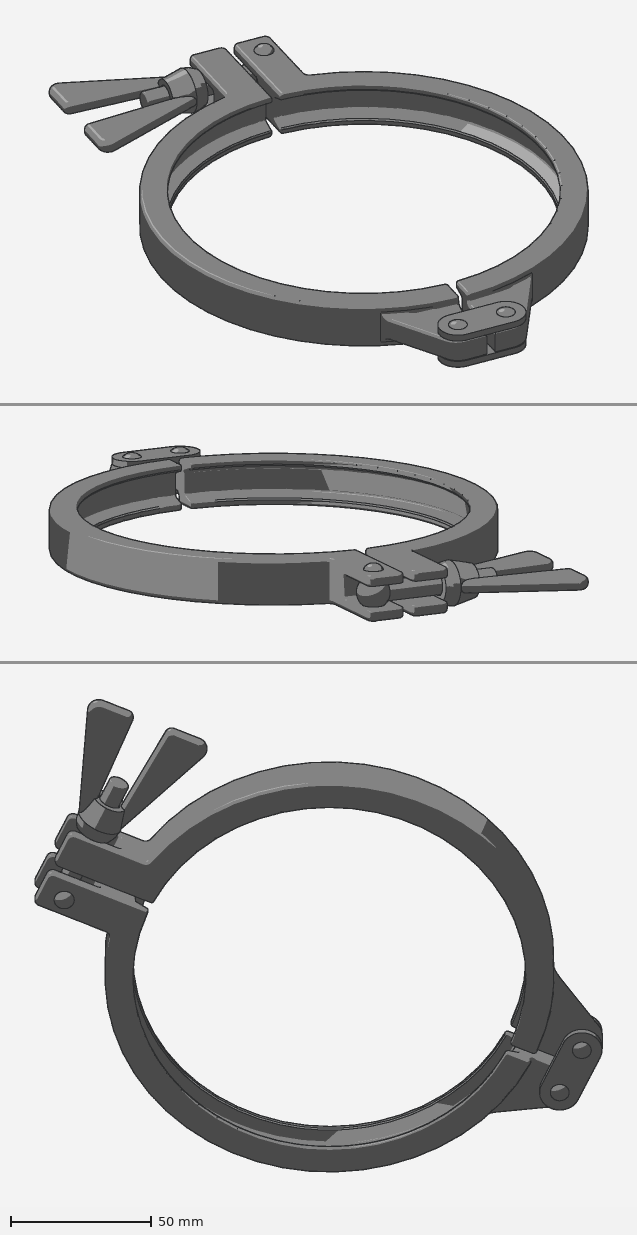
import cadquery as cq
import math

ring_outer_r = 80.04
ring_inner_r = 70.0
ring_half_height = 8.42
half_gap = 1.5
tolerance = 0.02
edge_round = 1.3
rim_round = 0.7

groove_r = 75.0
groove_tip_half = 6.0
groove_root_half = 4.3
groove_corner_round = 1.0

lug_end_x = -108.9
lug_side_y = 16.0
lug_corner_round = 2.2
lug_blend_r = 2.2
slot_end_x = -88.7
slot_half = 4.5
slot_corner_round = 1.3
slot_edge_round = 0.7

bolt_x = -99.5
pin_y = 9.7
bolt_r = 3.7
bolt_end_y = -38.2
bolt_end_round = 0.7
eye_r = 6.0
pin_r = 3.5
pin_half_length = 10.66

nut_face_r = 6.7
nut_rim_r = 7.9
nut_max_r = 8.3
nut_end_r = 6.3
nut_rim_y = -18.5
nut_max_y = -21.0
nut_end_y = -29.6
nut_bore_r = 4.0

wing_half_thickness = 2.5
wing_edge_round = 2.2
wing_root_inner_x = 4.5
wing_root_outer_x = 7.2
wing_root_y = -18.5
wing_bend_y = -28.0
wing_tip_inner_x = 6.5
wing_tip_y = -66.0
wing_slope = 0.37
wing_inner_corner_round = 2.5
wing_outer_corner_round = 4.0

hinge_x = 94.5
hinge_y = 9.55
hinge_r = 7.5
link_end_r = 7.2
ear_half_thickness = 4.3
ear_root_x = 74.0
ear_edge_round = 1.1
ear_blend_r = 2.0
link_thickness = 2.5
rivet_r = 2.35
rivet_head_r = 3.4
rivet_head_height = 1.3


def cylinder_z(x, y, radius, half_length):
    """A cylinder along Z, centred on the mid-plane."""
    return cq.Workplane("XY").center(x, y).circle(radius).extrude(half_length, both=True)


def block(x_min, x_max, y_min, y_max, half_height):
    """A box centred on the mid-plane."""
    return (
        cq.Workplane("XY")
        .center((x_min + x_max) / 2, (y_min + y_max) / 2)
        .rect(x_max - x_min, y_max - y_min)
        .extrude(half_height, both=True)
    )


def near(x, y, size=0.2):
    """Selects what lies in an upright column around (x, y)."""
    height = 2 * ring_half_height
    return cq.selectors.BoxSelector((x - size, y - size, -height), (x + size, y + size, height))


def is_inner_rim(edge):
    return edge.geomType() == "CIRCLE" and math.isclose(edge.radius(), ring_inner_r)


def ring_and_lug():
    """Half disc with its lug, outer edges rounded, then bored to the inner rims."""
    disc = cylinder_z(0, 0, ring_outer_r, ring_half_height)
    upper_side = block(-ring_outer_r, ring_outer_r, half_gap, ring_outer_r, ring_half_height)
    lug = block(lug_end_x, -ring_inner_r, half_gap, lug_side_y, ring_half_height)
    lug = lug.edges("|Z and <X").fillet(lug_corner_round)
    body = disc.intersect(upper_side).union(lug)
    blend_x = -math.sqrt(ring_outer_r**2 - lug_side_y**2)
    body = body.edges(near(blend_x, lug_side_y)).fillet(lug_blend_r)
    body = body.cut(cylinder_z(0, 0, ring_inner_r, ring_half_height))
    hinge_end = near((ring_inner_r + ring_outer_r) / 2, half_gap)
    face_edges = body.faces("|Z").edges(cq.selectors.InverseSelector(hinge_end))
    outer_edges = face_edges.filter(lambda edge: not is_inner_rim(edge))
    body = outer_edges.fillet(edge_round)
    return body.faces("|Z").edges().filter(is_inner_rim).fillet(rim_round)


def ear():
    """Flat hinge ear, tangent from the ring to the round around its rivet."""
    dx = hinge_x - ear_root_x
    root_y = math.sqrt(ring_outer_r**2 - ear_root_x**2)
    dy = hinge_y - root_y
    tilt = math.atan2(dy, dx) + math.asin(hinge_r / math.hypot(dx, dy)) + math.pi / 2
    mid = tilt / 2
    outline = (
        cq.Workplane("XY")
        .moveTo(groove_r, half_gap)
        .lineTo(hinge_x + hinge_r, half_gap)
        .lineTo(hinge_x + hinge_r, hinge_y)
        .threePointArc(
            (hinge_x + hinge_r * math.cos(mid), hinge_y + hinge_r * math.sin(mid)),
            (hinge_x + hinge_r * math.cos(tilt), hinge_y + hinge_r * math.sin(tilt)),
        )
        .lineTo(ear_root_x, root_y)
        .close()
    )
    return outline.extrude(ear_half_thickness, both=True)


def is_ear_root(edge):
    """True for the arcs where the ear's flat faces meet the outside of the ring."""
    if edge.geomType() != "CIRCLE":
        return False
    middle = edge.positionAt(0.5)
    on_ring = abs(math.hypot(middle.x, middle.y) - ring_outer_r) < tolerance
    return on_ring and middle.x > ring_inner_r and abs(middle.z) < ear_half_thickness + tolerance


def is_ear_rim(edge):
    """True for the edges of the ear's flat faces, apart from its root."""
    middle = edge.positionAt(0.5)
    on_face = abs(abs(middle.z) - ear_half_thickness) < tolerance
    return on_face and middle.x > ring_outer_r + ear_blend_r


def ring_lug_and_ear():
    body = ring_and_lug().union(ear())
    body = body.edges().filter(is_ear_root).fillet(ear_blend_r)
    return body.edges().filter(is_ear_rim).fillet(ear_edge_round)


def groove():
    """Ring-shaped cutter with flanks that narrow outwards."""
    profile = [
        (0, -groove_tip_half), (ring_inner_r, -groove_tip_half), (groove_r, -groove_root_half),
        (groove_r, groove_root_half), (ring_inner_r, groove_tip_half), (0, groove_tip_half),
    ]
    cutter = cq.Workplane("XZ").polyline(profile).close().revolve(360, (0, 0, 0), (0, 1, 0))
    return cutter.edges(cq.selectors.RadiusNthSelector(-1)).fillet(groove_corner_round)


def is_groove_mouth(edge):
    """True for the arcs where the groove opens through the inner rim."""
    return is_inner_rim(edge) and abs(edge.Center().z) < groove_tip_half + tolerance


def clamp_half(has_pin):
    """The +Y half. The pin hole is only needed where the bolt swings."""
    slot = block(lug_end_x - 2.2, slot_end_x, 0, lug_side_y + 2.2, slot_half)
    slot = slot.edges("|Y and >X").fillet(slot_corner_round)
    body = (
        ring_lug_and_ear()
        .cut(groove())
        .edges().filter(is_groove_mouth).fillet(rim_round)
        .cut(slot)
        .edges().filter(is_slot_rim).fillet(slot_edge_round)
        .cut(cylinder_z(hinge_x, hinge_y, rivet_r, ring_half_height))
    )
    if has_pin:
        body = body.cut(cylinder_z(bolt_x, pin_y, pin_r, ring_half_height))
    return body


def is_slot_rim(edge):
    """True for the edges where the slot opens through the lug's sides and end."""
    middle = edge.positionAt(0.5)
    in_slot = middle.x < slot_end_x + tolerance and abs(middle.z) < slot_half + tolerance
    on_side = min(abs(middle.y - half_gap), abs(middle.y - lug_side_y)) < tolerance
    on_end = middle.x < lug_end_x + lug_corner_round
    return in_slot and (on_side or on_end)


def domed_rod(x, y, shank_r, shank_half, head_r, head_height):
    """A round rod along Z with a domed head on each end."""
    top = shank_half + head_height
    dome_r = (head_r**2 + head_height**2) / (2 * head_height)
    half_angle = math.asin(head_r / dome_r) / 2
    dome_mid = (dome_r * math.sin(half_angle), top - dome_r * (1 - math.cos(half_angle)))
    head_profile = (
        cq.Workplane("XZ")
        .moveTo(0, shank_half)
        .lineTo(head_r, shank_half)
        .threePointArc(dome_mid, (0, top))
        .close()
    )
    head = head_profile.revolve(360, (0, 0, 0), (0, 1, 0))
    shank = cylinder_z(0, 0, shank_r, shank_half)
    return shank.union(head).union(head.mirror("XY")).translate((x, y, 0))


def rivet(y):
    shank_half = ear_half_thickness + link_thickness
    return domed_rod(hinge_x, y, rivet_r, shank_half, rivet_head_r, rivet_head_height)


def pivot_pin():
    head_height = pin_half_length - ring_half_height
    return domed_rod(bolt_x, pin_y, pin_r, ring_half_height, pin_r, head_height)


def bolt():
    """Rod along Y with a flattened ball eye around the pin."""
    rod = (
        cq.Workplane("XZ", origin=(bolt_x, pin_y, 0))
        .circle(bolt_r)
        .extrude(pin_y - bolt_end_y)
        .faces("<Y")
        .edges()
        .fillet(bolt_end_round)
    )
    ball = cq.Workplane("XY").sphere(eye_r).translate((bolt_x, pin_y, 0))
    eye = ball.intersect(cylinder_z(bolt_x, pin_y, eye_r, slot_half))
    return rod.union(eye).cut(cylinder_z(bolt_x, pin_y, pin_r, eye_r))


def wing():
    """One flat wing with full-round edges, on the +X side of the nut axis."""
    tip_outer_x = wing_root_outer_x + wing_slope * (wing_root_y - wing_tip_y)
    outline = [
        (0, wing_root_y), (wing_root_outer_x, wing_root_y), (tip_outer_x, wing_tip_y),
        (wing_tip_inner_x, wing_tip_y), (wing_root_inner_x, wing_bend_y),
    ]
    plate = cq.Workplane("XY").polyline(outline).close().extrude(wing_half_thickness, both=True)
    plate = plate.faces("<Y").edges(">X").fillet(wing_outer_corner_round)
    plate = plate.faces("<Y").edges("<X").fillet(wing_inner_corner_round)
    return plate.faces("|Z").edges().fillet(wing_edge_round)


def wing_nut():
    hub = (
        cq.Workplane("XY")
        .moveTo(0, -lug_side_y)
        .lineTo(nut_face_r, -lug_side_y)
        .lineTo(nut_rim_r, nut_rim_y)
        .lineTo(nut_max_r, nut_max_y)
        .lineTo(nut_end_r, nut_end_y)
        .lineTo(0, nut_end_y)
        .close()
        .revolve(360, (0, 0, 0), (0, 1, 0))
    )
    right_wing = wing()
    nut = hub.union(right_wing).union(right_wing.mirror("YZ"))
    bore = cq.Workplane("XZ").circle(nut_bore_r).extrude(-2 * wing_tip_y, both=True)
    return nut.cut(bore).translate((bolt_x, 0, 0))


def link(z_bottom):
    return (
        cq.Workplane("XY", origin=(hinge_x, 0, z_bottom))
        .slot2D(2 * (hinge_y + link_end_r), 2 * link_end_r, 90)
        .extrude(link_thickness)
        .cut(cylinder_z(hinge_x, hinge_y, rivet_r, ring_half_height))
        .cut(cylinder_z(hinge_x, -hinge_y, rivet_r, ring_half_height))
    )


back_half = clamp_half(has_pin=True)
front_half = clamp_half(has_pin=False).mirror("XZ")
links = [link(z) for z in (ear_half_thickness, -ear_half_thickness - link_thickness)]
rivets = [rivet(y) for y in (hinge_y, -hinge_y)]

result = cq.Compound.makeCompound([
    back_half.val(),
    front_half.val(),
    pivot_pin().val(),
    bolt().val(),
    wing_nut().val(),
    *[body.val() for body in links],
    *[body.val() for body in rivets],
])